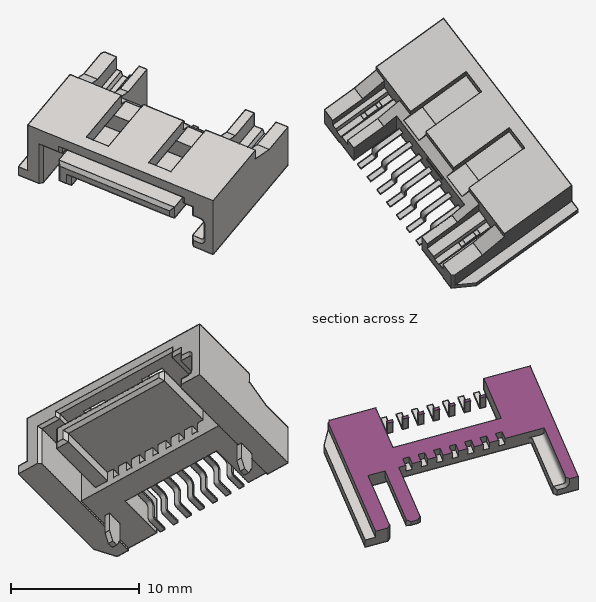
import cadquery as cq


width = 17.54
depth = 11.56
height = 5.85
foot_width = 0.85
foot_height = 0.91
roof_depth = 6.52
step_bottom_z = 4.91
rear_slope_end_y = 8.65
rear_height = 4.14
corner_cut_x = 1.0
corner_cut_y = 1.68
standoff = 0.25

cavity_depth = 5.38
cavity_left = 2.1
cavity_right = 16.55
roof_left = 3.85
roof_right = 14.7
roof_z = 4.65
shoulder_right = 15.54
shoulder_z = 4.05
side_pocket_z = 3.1
pocket_radius = 0.26
lip_height = 0.91
mouth_chamfer = 0.25
lip_fillet = 0.25

tongue_left = 3.47
tongue_right = 13.9
tongue_top = 3.1
tongue_bottom = 1.91
key_width = 1.15
key_bottom = 0.91
tongue_chamfer = 0.3

recess_lefts = (5.45, 11.07)
recess_width = 2.0
recess_front_y = 1.14
recess_rear_y = 7.2
window_left = 7.77
window_width = 2.0
window_height = 0.49

notch_left = 4.84
notch_right = 13.7
notch_front_y = 7.42
slot_spans = ((2.09, 4.12), (14.49, 16.45))
slot_floor_z = 2.77
groove_depth = 0.39
groove_floor_width = 0.5
groove_slope_width = 0.14

pin_centers = (2.9, 15.65)
pin_thickness = 0.44
pin_tip_z = -2.6
pin_taper_z = -1.74
pin_center_y = 8.4
pin_width = 1.39
pin_tip_width = 0.53
pin_shoulder_width = 1.79
pin_head_width = 1.03
pin_step_height = 0.1

contact_count = 7
contact_first_x = 5.45
contact_last_x = 13.08
contact_pitch = (contact_last_x - contact_first_x) / (contact_count - 1)
contact_width = 0.45
contact_thickness = 0.21
contact_end_y = 11.49
leg_rear_y = 10.1
upper_bend_radius = 0.53
lower_bend_radius = 0.07
contact_pocket_width = 0.5
contact_pocket_height = 0.96
contact_pocket_depth = 0.7


def block(x_min, x_max, y_min, y_max, z_min, z_max):
    """Box given by its limits along the three axes."""
    size = (x_max - x_min, y_max - y_min, z_max - z_min)
    return cq.Workplane("XY").box(*size, centered=False).translate((x_min, y_min, z_min))


def side_profile(points, x_min, x_max):
    """Closed (y, z) outline extruded from x_min to x_max."""
    return cq.Workplane("YZ", origin=(x_min, 0, 0)).polyline(points).close().extrude(x_max - x_min)


def make_shell():
    """Outer block with its stepped rear, board-level foot and cut rear corner."""
    outline = [
        (0, 0),
        (0, height),
        (roof_depth, height),
        (roof_depth, step_bottom_z),
        (rear_slope_end_y, rear_height),
        (depth, rear_height),
        (depth, 0),
    ]
    shell = side_profile(outline, foot_width, width)
    shell = shell.union(block(0, foot_width, 0, depth, 0, foot_height))
    corner = (
        cq.Workplane("XY")
        .polyline([(0, depth), (corner_cut_x, depth), (0, depth - corner_cut_y)])
        .close()
        .extrude(height)
    )
    return shell.cut(corner)


def cut_cavity(body):
    """Stepped mating cavity, open at the front and at the bottom, with a chamfered mouth."""
    cavity = (
        cq.Workplane("XZ")
        .moveTo(cavity_left, 0)
        .lineTo(cavity_left, shoulder_z)
        .lineTo(roof_left, shoulder_z)
        .lineTo(roof_left, roof_z)
        .lineTo(roof_right, roof_z)
        .lineTo(roof_right, shoulder_z)
        .lineTo(shoulder_right, shoulder_z)
        .lineTo(shoulder_right, side_pocket_z)
        .lineTo(cavity_right - pocket_radius, side_pocket_z)
        .radiusArc((cavity_right, side_pocket_z - pocket_radius), pocket_radius)
        .lineTo(cavity_right, lip_height + pocket_radius)
        .radiusArc((cavity_right - pocket_radius, lip_height), pocket_radius)
        .lineTo(shoulder_right, lip_height)
        .lineTo(shoulder_right, 0)
        .close()
        .extrude(-cavity_depth)
    )
    body = body.cut(cavity)
    margin = 0.09
    mouth = cq.selectors.BoxSelector(
        (cavity_left - margin, -margin, margin),
        (cavity_right + margin, margin, roof_z + margin),
    )
    body = body.edges(mouth).chamfer(mouth_chamfer)
    return body.cut(block(cavity_left, shoulder_right, cavity_depth, depth, 0, standoff))


def make_lip_fillet():
    """Concave fillet where the lip of the side pocket meets the rear wall."""
    start_x = shoulder_right - lip_fillet
    start_y = cavity_depth - lip_fillet
    return (
        cq.Workplane("XY", origin=(0, 0, standoff))
        .moveTo(shoulder_right, cavity_depth)
        .lineTo(start_x, cavity_depth)
        .radiusArc((shoulder_right, start_y), lip_fillet)
        .close()
        .extrude(lip_height - standoff)
    )


def make_tongue():
    """L-shaped tongue from the rear wall to the mating face."""
    key_right = tongue_left + key_width
    outline = [
        (tongue_left, tongue_top),
        (tongue_right, tongue_top),
        (tongue_right, tongue_bottom),
        (key_right, tongue_bottom),
        (key_right, key_bottom),
        (tongue_left, key_bottom),
    ]
    tongue = cq.Workplane("XZ").polyline(outline).close().extrude(-cavity_depth)
    return tongue.faces("<Y").edges().chamfer(tongue_chamfer)


def cut_openings(body):
    """Roof recesses, window above the tongue and notch behind the rear wall."""
    for left in recess_lefts:
        body = body.cut(block(left, left + recess_width, recess_front_y, recess_rear_y, roof_z, height))
    window_right = window_left + window_width
    window_top = tongue_top + window_height
    body = body.cut(block(window_left, window_right, cavity_depth, depth, tongue_top, window_top))
    return body.cut(block(notch_left, notch_right, notch_front_y, depth, 0, height))


def make_slot(x_min, x_max, groove_center):
    """Rear slot with a slope-sided groove in its floor."""
    slot = block(x_min, x_max, roof_depth, depth, slot_floor_z, height)
    half_floor = groove_floor_width / 2
    half_top = half_floor + groove_slope_width
    groove_z = slot_floor_z - groove_depth
    groove = (
        cq.Workplane("XZ", origin=(groove_center, roof_depth, 0))
        .polyline([
            (-half_top, slot_floor_z),
            (half_top, slot_floor_z),
            (half_floor, groove_z),
            (-half_floor, groove_z),
        ])
        .close()
        .extrude(roof_depth - depth)
    )
    return slot.union(groove)


def make_pin(center_x):
    """Flat board pin with a tapered tip and a stepped head standing in the groove."""
    shoulder_base_z = (standoff + slot_floor_z) / 2
    shoulder_top_z = slot_floor_z - groove_depth + pin_step_height
    head_top_z = shoulder_top_z + pin_step_height
    half_outline = [
        (pin_tip_width / 2, pin_tip_z),
        (pin_width / 2, pin_taper_z),
        (pin_width / 2, shoulder_base_z),
        (pin_shoulder_width / 2, shoulder_base_z),
        (pin_shoulder_width / 2, shoulder_top_z),
        (pin_head_width / 2, shoulder_top_z),
        (pin_head_width / 2, head_top_z),
    ]
    rear_side = [(pin_center_y + y, z) for y, z in half_outline]
    front_side = [(pin_center_y - y, z) for y, z in reversed(half_outline)]
    half_thickness = pin_thickness / 2
    return side_profile(rear_side + front_side, center_x - half_thickness, center_x + half_thickness)


def make_contact(center_x):
    """Strip leaving the rear wall, bent down into a vertical leg and back out into a solder tail."""
    leg_front_y = leg_rear_y - contact_thickness
    upper_bend_y = leg_rear_y - upper_bend_radius
    upper_bend_z = tongue_bottom - upper_bend_radius
    upper_inner_radius = upper_bend_radius - contact_thickness
    lower_bend_y = leg_rear_y + lower_bend_radius
    lower_bend_z = contact_thickness + lower_bend_radius
    lower_outer_radius = lower_bend_radius + contact_thickness
    return (
        cq.Workplane("YZ", origin=(center_x - contact_width / 2, 0, 0))
        .moveTo(notch_front_y, tongue_bottom)
        .lineTo(upper_bend_y, tongue_bottom)
        .radiusArc((leg_rear_y, upper_bend_z), upper_bend_radius)
        .lineTo(leg_rear_y, lower_bend_z)
        .radiusArc((lower_bend_y, contact_thickness), -lower_bend_radius)
        .lineTo(contact_end_y, contact_thickness)
        .lineTo(contact_end_y, 0)
        .lineTo(lower_bend_y, 0)
        .radiusArc((leg_front_y, lower_bend_z), lower_outer_radius)
        .lineTo(leg_front_y, upper_bend_z)
        .radiusArc((upper_bend_y, tongue_bottom - contact_thickness), -upper_inner_radius)
        .lineTo(notch_front_y, tongue_bottom - contact_thickness)
        .close()
        .extrude(contact_width)
    )


def make_contact_pocket(center_x):
    """Blind pocket in the rear wall right below the tongue."""
    half_width = contact_pocket_width / 2
    return block(
        center_x - half_width,
        center_x + half_width,
        cavity_depth,
        cavity_depth + contact_pocket_depth,
        tongue_bottom - contact_pocket_height,
        tongue_bottom,
    )


result = cut_openings(cut_cavity(make_shell()))
result = result.union(make_lip_fillet()).union(make_tongue())

for (slot_left, slot_right), pin_x in zip(slot_spans, pin_centers):
    result = result.cut(make_slot(slot_left, slot_right, pin_x))
    result = result.union(make_pin(pin_x))

for index in range(contact_count):
    contact_x = contact_first_x + index * contact_pitch
    result = result.cut(make_contact_pocket(contact_x))
    result = result.union(make_contact(contact_x))